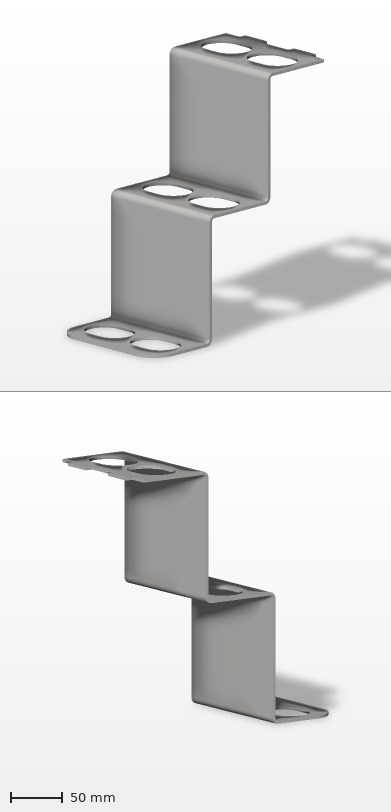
import cadquery as cq

width = 134.7
height = 257.2
sheet = 3.0
outer_bend = 6.5
inner_bend = outer_bend - sheet

tread_count = 3
step_run = 79.7
step_rise = (height - sheet) / (tread_count - 1)
first_riser_y = 75.5
front_corner_radius = 25.7

tab_length = 7.5
tab_width = 29.8
tab_spacing = 66.9
depth = 239.5
body_depth = depth - tab_length

slot_length = 53.5
slot_width = 39.5
slot_spacing = 62.7
first_slot_y = first_riser_y / 2


def make_box(x_size, y_min, y_max, z_min, z_max):
    """Box centred on X = 0 and spanning the given Y and Z ranges."""
    box = cq.Workplane("XY").box(x_size, y_max - y_min, z_max - z_min)
    return box.translate((0, (y_min + y_max) / 2, (z_min + z_max) / 2))


def bend_edges(y, z):
    """Select the single widthwise edge that passes through (y, z)."""
    return cq.selectors.NearestToPointSelector((0, y, z))


def make_stepped_sheet():
    """Stepped sheet with a bend radius at every fold."""
    sheet_body = make_box(width, 0, first_riser_y + sheet, 0, sheet)
    folds = []
    for step in range(1, tread_count):
        riser_y = first_riser_y + (step - 1) * step_run
        riser_back = riser_y + sheet
        lower_z = (step - 1) * step_rise
        upper_z = step * step_rise
        is_top = step == tread_count - 1
        tread_end = body_depth if is_top else riser_back + step_run
        riser = make_box(width, riser_y, riser_back, lower_z, upper_z + sheet)
        tread = make_box(width, riser_y, tread_end, upper_z, upper_z + sheet)
        sheet_body = sheet_body.union(riser).union(tread)
        folds.append((riser_back, lower_z, outer_bend))
        folds.append((riser_y, lower_z + sheet, inner_bend))
        folds.append((riser_y, upper_z + sheet, outer_bend))
        folds.append((riser_back, upper_z, inner_bend))
    for fold_y, fold_z, radius in folds:
        sheet_body = sheet_body.edges(bend_edges(fold_y, fold_z)).fillet(radius)
    return sheet_body


def round_front_corners(body):
    """Round the two free corners of the bottom tread."""
    return body.faces("<Y").edges("|Z").fillet(front_corner_radius)


def add_tabs(body):
    """Add the two tabs to the rear edge of the top tread."""
    for side in (-1, 1):
        tab = make_box(tab_width, body_depth, depth, height - sheet, height)
        body = body.union(tab.translate((side * tab_spacing / 2, 0, 0)))
    return body


def cut_slots(body):
    """Cut a pair of slots through every tread."""
    slot_centres = [
        (side * slot_spacing / 2, first_slot_y + tread * step_run)
        for tread in range(tread_count)
        for side in (-1, 1)
    ]
    cutter = cq.Workplane("XY").pushPoints(slot_centres).slot2D(slot_length, slot_width).extrude(height)
    return body.cut(cutter)


stepped_sheet = make_stepped_sheet()
rounded_sheet = round_front_corners(stepped_sheet)
tabbed_sheet = add_tabs(rounded_sheet)
result = cut_slots(tabbed_sheet)